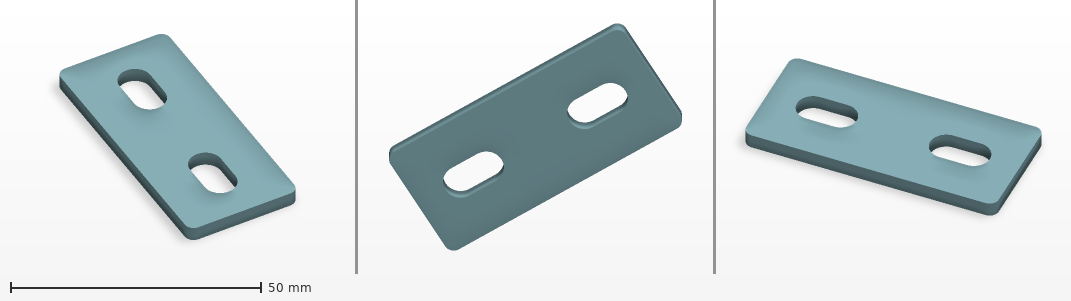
import cadquery as cq

plate_length = 55.0
plate_width = 25.0
plate_thickness = 3.2
corner_radius = 2.0

slot_length = 13.0
slot_width = 7.0
slot_spacing = 29.0


def make_plate():
    """Flat plate centred on the origin with rounded vertical corners."""
    plate = cq.Workplane("XY").box(plate_length, plate_width, plate_thickness)
    return plate.edges("|Z").fillet(corner_radius)


def cut_slots(plate):
    """Cut the round-ended slots through the plate, symmetric about its centre."""
    slot_centres = [(-slot_spacing / 2, 0), (slot_spacing / 2, 0)]
    return (
        plate.faces(">Z")
        .workplane()
        .pushPoints(slot_centres)
        .slot2D(slot_length, slot_width)
        .cutThruAll()
    )


result = cut_slots(make_plate())